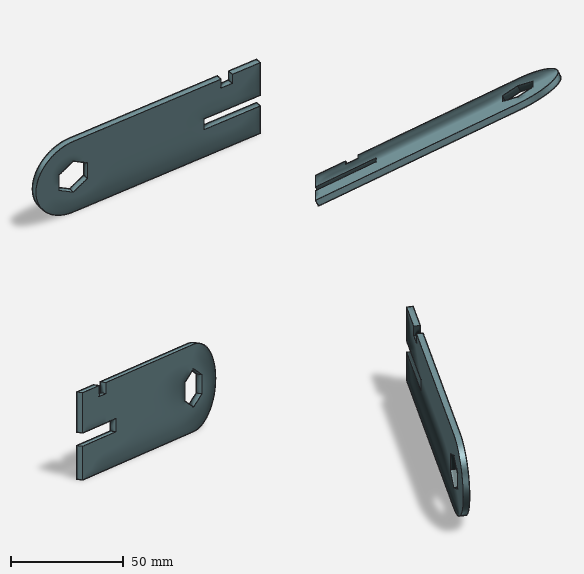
import cadquery as cq
import math

length = 120.0
width = 40.0
thickness = 3.0
end_radius = width / 2
square_end = length - end_radius

slot_depth = 30.0
slot_width = 6.0
slot_base_height = 15.5

notch_width = 6.0
notch_depth = 5.0
notch_setback = 15.0

hex_across_flats = 15.1


def make_plate():
    return (
        cq.Workplane("YZ")
        .moveTo(0, end_radius)
        .lineTo(square_end, end_radius)
        .lineTo(square_end, -end_radius)
        .lineTo(0, -end_radius)
        .threePointArc((-end_radius, 0), (0, end_radius))
        .close()
        .extrude(thickness)
    )


def rectangular_cut(y_start, z_start, y_size, z_size):
    """Cutter through the full thickness, placed by its low-Y, low-Z corner."""
    return cq.Workplane("XY").box(thickness, y_size, z_size, centered=False).translate((0, y_start, z_start))


def make_hex_cutter():
    across_corners = hex_across_flats / math.cos(math.pi / 6)
    return cq.Workplane("YZ").transformed(rotate=(0, 0, 90)).polygon(6, across_corners).extrude(thickness)


slot = rectangular_cut(square_end - slot_depth, slot_base_height - end_radius, slot_depth, slot_width)
notch = rectangular_cut(
    square_end - notch_setback - notch_width, end_radius - notch_depth, notch_width, notch_depth
)

result = make_plate().cut(slot).cut(notch).cut(make_hex_cutter())